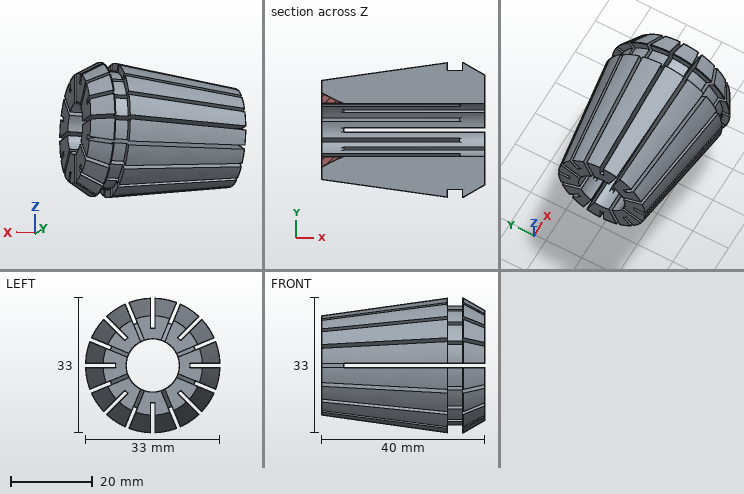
import math

import cadquery as cq

LENGTH = 40.0
MAX_RADIUS = 16.5
BORE_RADIUS = 6.5
TAPER_LENGTH = 30.8
TAPER_ANGLE = 8.0
GROOVE_END = 34.5
GROOVE_RADIUS = 14.6
RIM_WIDTH = 0.25
NOSE_ANGLE = 30.0

SLOT_COUNT = 16
SLOT_WIDTH = 1.0
SAW_RADIUS = 40.0
SLOT_PITCH = 360.0 / SLOT_COUNT

NARROW_FLOOR_RADIUS = 9.15
NARROW_FLOOR_SLOPE = 30.3
WIDE_FLOOR_RADIUS = 11.1
WIDE_FLOOR_SLOPE = 42.2


def make_body():
    """Double cone with a groove behind the nose and a straight bore."""
    narrow_radius = MAX_RADIUS - TAPER_LENGTH * math.tan(math.radians(TAPER_ANGLE))
    nose_start = GROOVE_END + RIM_WIDTH
    nose_radius = MAX_RADIUS - (LENGTH - nose_start) * math.tan(math.radians(NOSE_ANGLE))
    half_section = (
        cq.Workplane("XY")
        .moveTo(0, BORE_RADIUS)
        .lineTo(0, narrow_radius)
        .lineTo(TAPER_LENGTH, MAX_RADIUS)
        .lineTo(TAPER_LENGTH, GROOVE_RADIUS)
        .lineTo(GROOVE_END, GROOVE_RADIUS)
        .lineTo(GROOVE_END, MAX_RADIUS)
        .lineTo(nose_start, MAX_RADIUS)
        .lineTo(LENGTH, nose_radius)
        .lineTo(LENGTH, BORE_RADIUS)
        .close()
    )
    return half_section.revolve(360, (0, 0, 0), (1, 0, 0))


def make_cutter(end_x, inward, floor_radius, floor_slope):
    """Slot along +Y whose floor curves up to floor_radius at the end face end_x.

    inward is the X direction (+1 or -1) from that end face into the part.
    The slot runs through the bore and out of the opposite end.
    """
    slope = math.radians(floor_slope)
    center_x = end_x + inward * SAW_RADIUS * math.sin(slope)
    center_y = floor_radius + SAW_RADIUS * math.cos(slope)
    far_x = end_x + inward * 2 * LENGTH
    bottom = center_y - SAW_RADIUS
    disc = (
        cq.Workplane("XY")
        .center(center_x, center_y)
        .circle(SAW_RADIUS)
        .extrude(SLOT_WIDTH / 2, both=True)
    )
    run = (
        cq.Workplane("XY")
        .moveTo(center_x, bottom)
        .lineTo(far_x, bottom)
        .lineTo(far_x, center_y)
        .lineTo(center_x, center_y)
        .close()
        .extrude(SLOT_WIDTH / 2, both=True)
    )
    return disc.union(run)


def cut_slots(body):
    """Cut the slots, even ones leaving a floor at the narrow end, odd ones at the wide end."""
    wide_end_cutter = make_cutter(LENGTH, -1, WIDE_FLOOR_RADIUS, WIDE_FLOOR_SLOPE)
    narrow_end_cutter = make_cutter(0, 1, NARROW_FLOOR_RADIUS, NARROW_FLOOR_SLOPE)
    for index in range(SLOT_COUNT):
        cutter = narrow_end_cutter if index % 2 == 0 else wide_end_cutter
        body = body.cut(cutter.rotate((0, 0, 0), (1, 0, 0), index * SLOT_PITCH))
    return body


result = cut_slots(make_body())